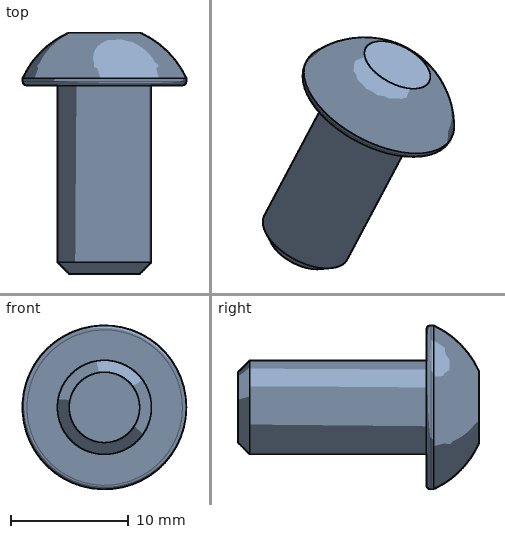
import cadquery as cq

total_length = 20.5
head_height = 4.49
head_radius = 6.97
head_top_radius = 3.05
rim_base_radius = 6.6
rim_round_height = 0.37
rim_top_height = 0.62
dome_mid_radius = 5.5
dome_mid_height = 2.77
shank_radius = 4.0
tip_chamfer = 1.0

shank_length = total_length - head_height


def make_shank():
    shank = cq.Workplane("XZ").circle(shank_radius).extrude(-shank_length)
    return shank.faces("<Y").chamfer(tip_chamfer)


def make_head():
    rim_round = head_radius - rim_base_radius
    diagonal = 0.5 ** 0.5
    round_middle = (
        rim_base_radius + rim_round * diagonal,
        shank_length + rim_round_height * (1 - diagonal),
    )
    profile = (
        cq.Workplane("XY")
        .moveTo(0, shank_length)
        .lineTo(rim_base_radius, shank_length)
        .threePointArc(round_middle, (head_radius, shank_length + rim_round_height))
        .lineTo(head_radius, shank_length + rim_top_height)
        .threePointArc(
            (dome_mid_radius, shank_length + dome_mid_height),
            (head_top_radius, total_length),
        )
        .lineTo(0, total_length)
        .close()
    )
    return profile.revolve(360, (0, 0, 0), (0, 1, 0))


result = make_shank().union(make_head())